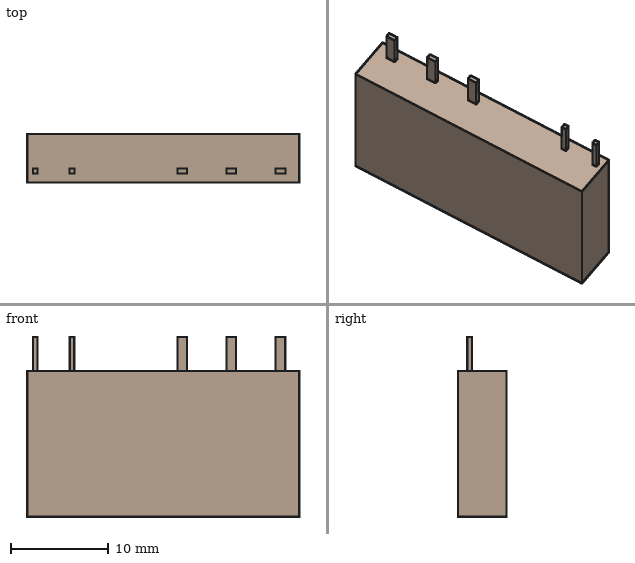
import cadquery as cq

body_length = 28.0
body_depth = 5.0
body_height = 15.0

pin_height = 3.5
pin_thickness = 0.5
coil_pin_width = 0.5
contact_pin_width = 1.0
pin_row_y = 1.2

first_coil_x = 0.85
coil_pitch = 3.78
coil_to_contact = 11.35
contact_pitch = 5.05
contact_count = 3

first_contact_x = first_coil_x + coil_pitch + coil_to_contact
coil_centres = [first_coil_x, first_coil_x + coil_pitch]
contact_centres = [first_contact_x + i * contact_pitch for i in range(contact_count)]


def pins(centres, width):
    """Rectangular pins of one width, rising from the top of the body."""
    return (
        cq.Workplane("XY", origin=(0, 0, body_height))
        .pushPoints([(x, pin_row_y) for x in centres])
        .rect(width, pin_thickness)
        .extrude(pin_height)
    )


body = cq.Workplane("XY").box(body_length, body_depth, body_height, centered=False)
result = body.union(pins(coil_centres, coil_pin_width)).union(pins(contact_centres, contact_pin_width))